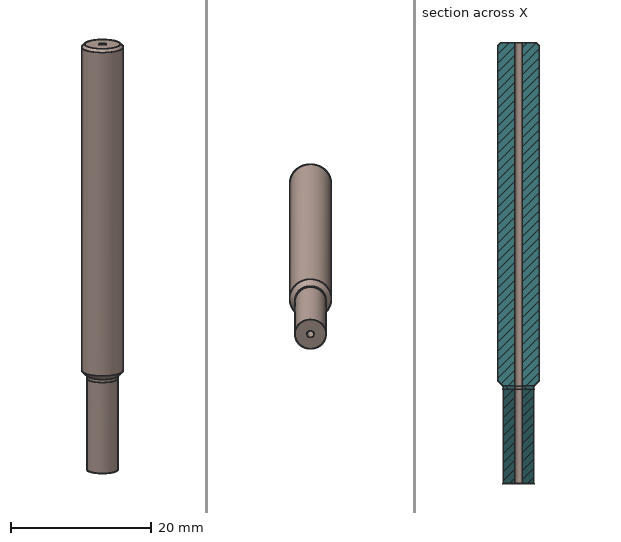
import cadquery as cq

total_length = 63.0
barrel_diameter = 6.0
stem_diameter = 4.5
bore_diameter = 1.0

stem_length = 13.5
ring_thickness = 0.45
ring_top = stem_length + ring_thickness
barrel_length = total_length - ring_top

top_chamfer = 0.45
shoulder_chamfer = (barrel_diameter - stem_diameter) / 2


def make_tube(diameter, base_height, length):
    """Upright tube around the Z axis with the common through bore."""
    return (
        cq.Workplane("XY", origin=(0, 0, base_height))
        .circle(diameter / 2)
        .circle(bore_diameter / 2)
        .extrude(length)
    )


def chamfer_outer_rim(body, end_face, size):
    """Chamfer only the outer edge of an end face, leaving the bore edge sharp."""
    rim = body.faces(end_face).edges(cq.selectors.RadiusNthSelector(-1))
    return rim.chamfer(size)


def make_barrel():
    """Wide upper body, tapered at its base to the stem diameter."""
    barrel = make_tube(barrel_diameter, ring_top, barrel_length)
    barrel = chamfer_outer_rim(barrel, ">Z", top_chamfer)
    return chamfer_outer_rim(barrel, "<Z", shoulder_chamfer)


def make_ring():
    """Thin ring between the barrel and the stem."""
    return make_tube(stem_diameter, stem_length, ring_thickness)


def make_stem():
    """Narrow lower body."""
    return make_tube(stem_diameter, 0, stem_length)


barrel = make_barrel()
ring = make_ring()
stem = make_stem()

result = cq.Compound.makeCompound([barrel.val(), ring.val(), stem.val()])